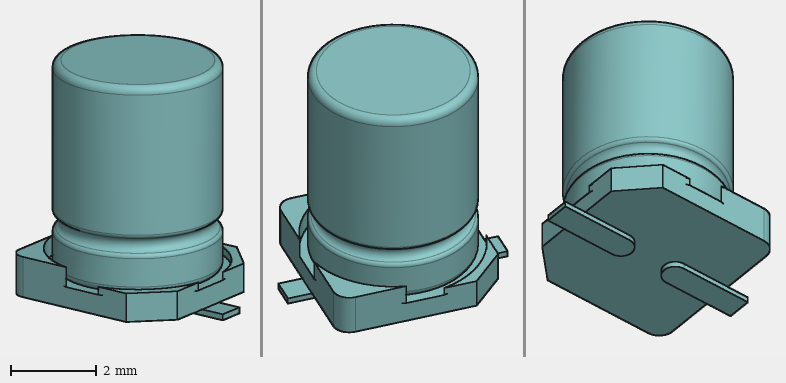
import cadquery as cq
import math

total_height = 5.8

lead_span = 5.5
lead_gap = 0.985
lead_width = 0.65
lead_thickness = 0.15

base_side = 4.3
base_bottom = lead_thickness
floor_z = 0.66
low_wall_top = 0.86
high_wall_top = 1.15
corner_radius = 0.4
corner_chamfer = 0.86
pocket_diameter = 4.4

can_radius = 2.0
can_edge_radius = 0.2
groove_center_z = 1.85
groove_radius = 0.2
groove_lip_radius = 0.115


def make_base():
    """Base whose round pocket breaks through the middle of all four sides."""
    base = (
        cq.Workplane("XY", origin=(0, 0, base_bottom))
        .rect(base_side, base_side)
        .extrude(high_wall_top - base_bottom)
    )
    base = base.edges("|Z and <X").fillet(corner_radius)
    base = base.edges("|Z and >X").chamfer(corner_chamfer)
    wall_step = cq.Workplane("XY").box(
        base_side, base_side, high_wall_top - low_wall_top, centered=(False, True, False)
    ).translate((0, 0, low_wall_top))
    pocket = (
        cq.Workplane("XY", origin=(0, 0, floor_z))
        .circle(pocket_diameter / 2)
        .extrude(high_wall_top - floor_z)
    )
    return base.cut(wall_step).cut(pocket)


def make_can():
    """Revolved can with rounded ends and a crimp groove with rounded lips.

    The groove circle is centred on the can wall; each lip arc is tangent to both.
    """
    centers_distance = groove_radius + groove_lip_radius
    lip_offset = math.sqrt(centers_distance**2 - groove_lip_radius**2)
    lip_fraction = groove_lip_radius / centers_distance
    contact_radius = can_radius - groove_lip_radius * (1 - lip_fraction)
    contact_offset = lip_offset * (1 - lip_fraction)

    lip_angle = math.acos(lip_fraction) / 2
    lip_mid_radius = can_radius - groove_lip_radius * (1 - math.cos(lip_angle))
    lip_mid_offset = lip_offset - groove_lip_radius * math.sin(lip_angle)

    profile = (
        cq.Workplane("XZ")
        .moveTo(0, floor_z)
        .lineTo(can_radius, floor_z)
        .lineTo(can_radius, groove_center_z - lip_offset)
        .threePointArc(
            (lip_mid_radius, groove_center_z - lip_mid_offset),
            (contact_radius, groove_center_z - contact_offset),
        )
        .threePointArc(
            (can_radius - groove_radius, groove_center_z),
            (contact_radius, groove_center_z + contact_offset),
        )
        .threePointArc(
            (lip_mid_radius, groove_center_z + lip_mid_offset),
            (can_radius, groove_center_z + lip_offset),
        )
        .lineTo(can_radius, total_height)
        .lineTo(0, total_height)
        .close()
    )
    can = profile.revolve(360, (0, 0, 0), (0, 1, 0))
    return can.faces("<Z or >Z").edges().fillet(can_edge_radius)


def make_lead(side):
    """Flat terminal with a full-round inner end; side is -1 or +1 along X."""
    outer_x = side * lead_span / 2
    tip_x = side * lead_gap / 2
    round_start_x = tip_x + side * lead_width / 2
    half_width = lead_width / 2
    return (
        cq.Workplane("XY")
        .moveTo(outer_x, -half_width)
        .lineTo(round_start_x, -half_width)
        .threePointArc((tip_x, 0), (round_start_x, half_width))
        .lineTo(outer_x, half_width)
        .close()
        .extrude(lead_thickness)
    )


result = make_base().union(make_can())
for lead_side in (-1, 1):
    result = result.union(make_lead(lead_side))